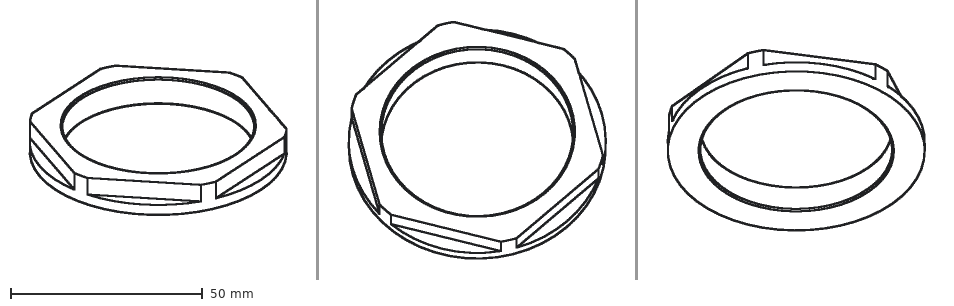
import cadquery as cq
import math

outer_diameter = 67.0
total_height = 8.0
flange_height = 3.0

across_flats = 60.0
across_corners = across_flats / math.cos(math.pi / 6)

bore_diameter = 50.0
bore_chamfer = 0.5


def make_flange():
    return cq.Workplane("XY").circle(outer_diameter / 2).extrude(flange_height)


def make_hexagonal_grip():
    """Full-height hexagon whose corners are rounded off by the flange diameter."""
    hexagon = (
        cq.Workplane("XY")
        .transformed(rotate=(0, 0, 30))
        .polygon(6, across_corners)
        .extrude(total_height)
    )
    envelope = cq.Workplane("XY").circle(outer_diameter / 2).extrude(total_height)
    return hexagon.intersect(envelope)


def make_bore():
    """Through hole cutter that widens into a 45 degree chamfer at both end faces."""
    bore_radius = bore_diameter / 2
    mouth_radius = bore_radius + bore_chamfer
    return (
        cq.Workplane("XZ")
        .moveTo(0, 0)
        .lineTo(mouth_radius, 0)
        .lineTo(bore_radius, bore_chamfer)
        .lineTo(bore_radius, total_height - bore_chamfer)
        .lineTo(mouth_radius, total_height)
        .lineTo(0, total_height)
        .close()
        .revolve(360, (0, 0, 0), (0, 1, 0))
    )


result = make_flange().union(make_hexagonal_grip()).cut(make_bore())